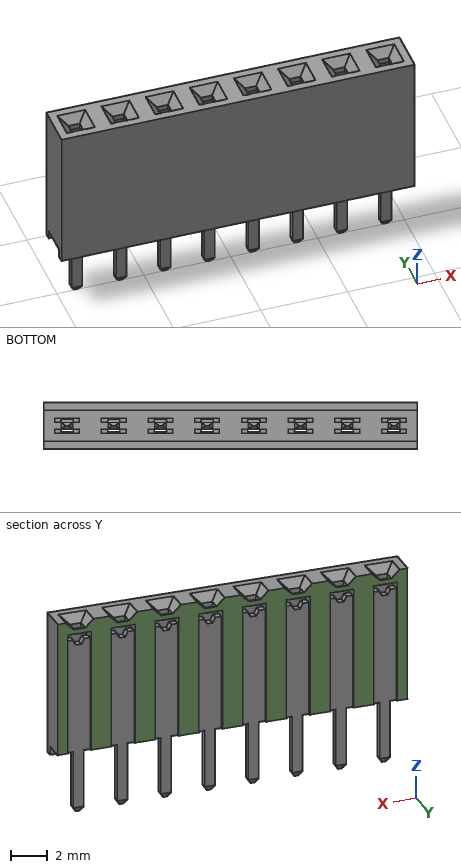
import cadquery as cq

LENGTH = 20.32
WIDTH = 2.55
TOTAL_HEIGHT = 11.6
HOUSING_HEIGHT = 8.4
RAIL_WIDTH = 0.43
RAIL_HEIGHT = 0.49

SOCKET_COUNT = 8
PITCH = LENGTH / SOCKET_COUNT
FUNNEL_SIDE = 1.6
FUNNEL_DEPTH = 0.47
BORE_SIDE = 0.65
BORE_DEPTH = 0.3
CAVITY_LENGTH = 1.35
CAVITY_WIDTH = 0.81

PIN_WIDTH = 0.6
PIN_THICKNESS = 0.4
TIP_HEIGHT = 0.33
CONTACT_DROP = 0.4
NOTCH_MOUTH = BORE_SIDE
NOTCH_FLOOR = 0.3
NOTCH_DEPTH = 0.3

housing_bottom = TOTAL_HEIGHT - HOUSING_HEIGHT
groove_roof = housing_bottom + RAIL_HEIGHT
funnel_bottom = TOTAL_HEIGHT - FUNNEL_DEPTH
bore_bottom = funnel_bottom - BORE_DEPTH
contact_top = bore_bottom - CONTACT_DROP
notch_bottom = contact_top - NOTCH_DEPTH


def box_between(x_size, y_size, bottom, top):
    """A box centred on the Z axis that spans two levels."""
    return cq.Workplane("XY", origin=(0, 0, bottom)).rect(x_size, y_size).extrude(top - bottom)


def make_housing():
    """The block with the groove that leaves a rail along each long side."""
    block = box_between(LENGTH, WIDTH, housing_bottom, TOTAL_HEIGHT)
    groove = box_between(LENGTH, WIDTH - 2 * RAIL_WIDTH, housing_bottom, groove_roof)
    return block.cut(groove)


def make_socket():
    """The space of one socket: a square funnel, a short bore and a wider cavity open below."""
    funnel = (
        cq.Workplane("XY", origin=(0, 0, funnel_bottom))
        .rect(BORE_SIDE, BORE_SIDE)
        .workplane(offset=FUNNEL_DEPTH)
        .rect(FUNNEL_SIDE, FUNNEL_SIDE)
        .loft(ruled=True)
    )
    bore = box_between(BORE_SIDE, BORE_SIDE, bore_bottom, funnel_bottom)
    cavity = box_between(CAVITY_LENGTH, CAVITY_WIDTH, groove_roof, bore_bottom)
    return funnel.union(bore).union(cavity)


def make_contact():
    """The part of the pin in the cavity, with a notch in its upper end that guides a mating pin."""
    half_floor = NOTCH_FLOOR / 2
    half_mouth = NOTCH_MOUTH / 2
    notch_outline = [
        (-half_mouth, contact_top),
        (half_mouth, contact_top),
        (half_floor, notch_bottom),
        (-half_floor, notch_bottom),
    ]
    notch = cq.Workplane("XZ").polyline(notch_outline).close().extrude(PIN_THICKNESS / 2, both=True)
    return box_between(CAVITY_LENGTH, PIN_THICKNESS, groove_roof, contact_top).cut(notch)


def make_tip():
    """A tip with four slopes of equal inset, which meet in a short ridge along X."""
    half_width = PIN_WIDTH / 2
    half_ridge = half_width - PIN_THICKNESS / 2
    half_thickness = PIN_THICKNESS / 2
    wide_outline = [
        (-half_width, TIP_HEIGHT),
        (half_width, TIP_HEIGHT),
        (half_ridge, 0),
        (-half_ridge, 0),
    ]
    thin_outline = [
        (-half_thickness, TIP_HEIGHT),
        (half_thickness, TIP_HEIGHT),
        (0, 0),
    ]
    wide_side = cq.Workplane("XZ").polyline(wide_outline).close().extrude(half_thickness, both=True)
    thin_side = cq.Workplane("YZ").polyline(thin_outline).close().extrude(half_width, both=True)
    return wide_side.intersect(thin_side)


def make_tail():
    """The part of the pin below the groove roof, ending in a narrow chisel tip."""
    shank = box_between(PIN_WIDTH, PIN_THICKNESS, TIP_HEIGHT, groove_roof)
    return shank.union(make_tip())


socket = make_socket()
pin = make_contact().union(make_tail())

result = make_housing()
for index in range(SOCKET_COUNT):
    place = ((index - (SOCKET_COUNT - 1) / 2) * PITCH, 0, 0)
    result = result.cut(socket.translate(place)).union(pin.translate(place))